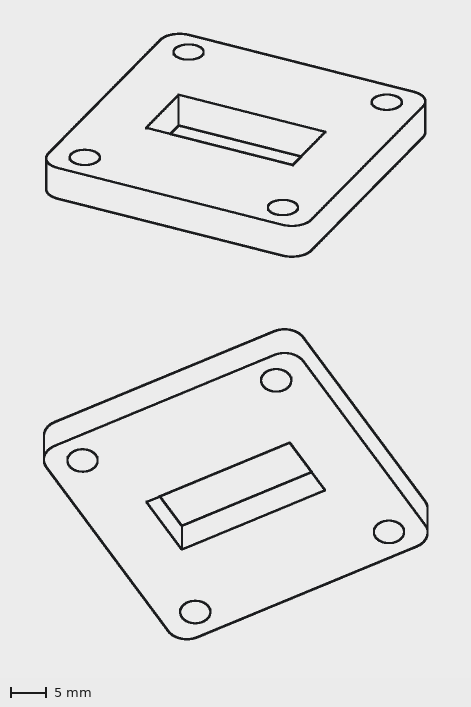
import cadquery as cq

side = 41.1
thickness = 5.0
corner_radius = 3.0

window_length = 22.95
window_width = 10.2

hole_diameter = 4.25
hole_spacing_x = 31.0
hole_spacing_y = 32.5

plate = cq.Workplane("XY").box(side, side, thickness).edges("|Z").fillet(corner_radius)

window = cq.Workplane("XY").box(window_length, window_width, thickness)

mounting_holes = (
    cq.Workplane("XY")
    .rect(hole_spacing_x, hole_spacing_y, forConstruction=True)
    .vertices()
    .circle(hole_diameter / 2)
    .extrude(thickness / 2, both=True)
)

result = plate.cut(window).cut(mounting_holes)